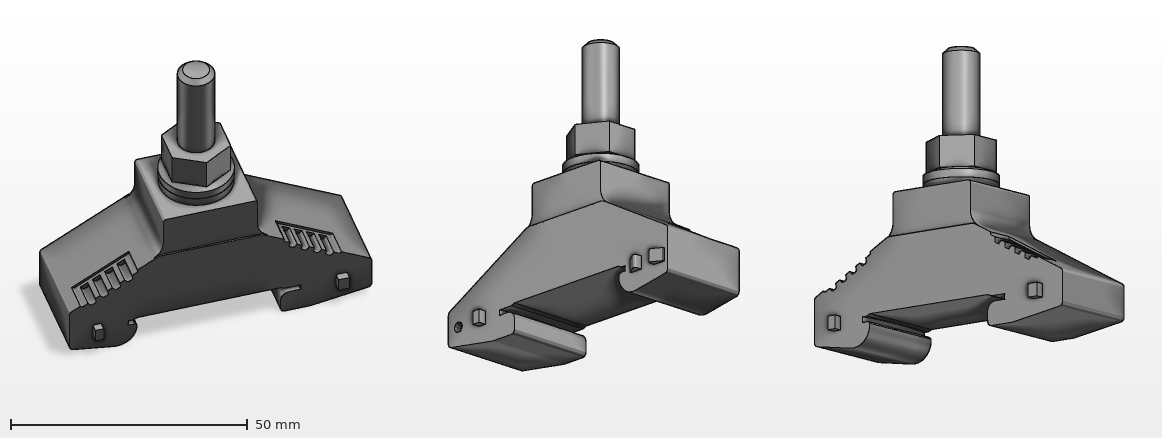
import cadquery as cq
import math


overall_width = 24.6
peg_reach = 1.8
housing_width = overall_width - 2 * peg_reach
half_width = housing_width / 2
front_end = -31.35
back_end = front_end + 67
corner_radius = 1.0
front_shoulder_z = 12.05
slope_angle = math.radians(28.5)

neck_width = 20.2
neck_half_depth = 10.45
neck_top_z = 32.4
neck_root_z = 20.1
neck_root_radius = 4.0
neck_top_radius = 0.7
ledge_z = 22.85
ledge_radius = 2.0

rail_seat_z = 6.85
rail_slot_floor_z = 5.2
rail_slot_top_z = 6.4
lead_in = 0.95
back_hook_y = 15.4
back_hook_radius = 2.0
back_bottom_y = 22.1
back_bottom_z = 1.95
back_slot_end = 19.95
front_hook_y = -16.4
front_hook_radius = 4.5
front_hook_tip = 0.5
front_slot_mouth = -17.2
front_slot_end = -18.3
front_bottom_angle = math.radians(9.5)
slot_end_bulge = 0.95

grip_middle = 25.7
grip_length = 14.4
grip_width = 6.2
grip_depth = 0.5
groove_count = 4
groove_pitch = 3.1
groove_length = 5.4
groove_width = 1.9
groove_depth = 1.0
groove_flank_angle = math.radians(18)
groove_radius = 0.35

peg_bottom_z = 4.35
peg_height = 2.95
peg_width = 1.9
peg_y = 25.25
wide_peg_width = 2.5
wide_peg_y = 28.95
barb_length = 3.1
barb_step = 0.35
barb_sharp_reach = 2.15
barb_tip_radius = 0.5
barb_gap = 3.95
socket_y = 32.55
socket_diameter = 2.3
socket_depth = 1.8

stud_diameter = 8.0
stud_top_z = 63.6
stud_chamfer_width = 1.15
stud_chamfer_height = 1.1
washer_diameter = 16.1
washer_top_z = 34.3
collar_diameter = 16.2
collar_edge_z = 36.1
nut_bottom_z = 36.85
nut_top_z = 43.7
nut_across_flats = 13.0


def slope_z(distance):
    """Height of the sloping flanks at a given Y distance from the stud axis."""
    return front_shoulder_z + (-front_end - distance) * math.tan(slope_angle)


def slope_distance(z):
    """Y distance from the stud axis at which the sloping flanks have height z."""
    return -front_end - (z - front_shoulder_z) / math.tan(slope_angle)


def round_edges(body, radius, corners):
    """Round the edges that run along X through the given (y, z) corners."""
    edges = body.edges(cq.selectors.NearestToPointSelector((0, *corners[0])))
    for corner in corners[1:]:
        edges = edges.add(body.edges(cq.selectors.NearestToPointSelector((0, *corner))))
    return edges.fillet(radius)


def make_base():
    """Lower block with sloping flanks and the two rail hooks."""
    hook_center_y = front_hook_y - front_hook_radius
    hook_middle_angle = math.pi / 4
    hook_middle = (
        hook_center_y + front_hook_radius * math.cos(hook_middle_angle),
        front_hook_radius * (1 - math.sin(hook_middle_angle)),
    )
    hook_end = (
        hook_center_y - front_hook_radius * math.sin(front_bottom_angle),
        front_hook_radius * (1 - math.cos(front_bottom_angle)),
    )
    front_bottom_z = hook_end[1] + (hook_end[0] - front_end) * math.tan(front_bottom_angle)
    ledge_y = slope_distance(ledge_z)
    back_shoulder_z = slope_z(back_end)

    base = (
        cq.Workplane("YZ")
        .moveTo(front_end, front_shoulder_z)
        .lineTo(-ledge_y, ledge_z)
        .lineTo(ledge_y, ledge_z)
        .lineTo(back_end, back_shoulder_z)
        .lineTo(back_end, back_bottom_z)
        .lineTo(back_bottom_y, 0)
        .lineTo(back_hook_y, 0)
        .lineTo(back_hook_y, rail_slot_floor_z)
        .lineTo(back_hook_y + lead_in, rail_slot_floor_z)
        .lineTo(back_hook_y + lead_in, rail_slot_top_z)
        .lineTo(back_hook_y, rail_seat_z)
        .lineTo(front_slot_mouth + lead_in, rail_seat_z)
        .lineTo(front_slot_mouth, rail_slot_top_z)
        .lineTo(front_slot_mouth, rail_slot_floor_z)
        .lineTo(front_hook_y - front_hook_tip, rail_slot_floor_z)
        .lineTo(front_hook_y, rail_slot_floor_z - front_hook_tip)
        .lineTo(front_hook_y, front_hook_radius)
        .threePointArc(hook_middle, hook_end)
        .lineTo(front_end, front_bottom_z)
        .close()
        .extrude(half_width, both=True)
    )
    base = base.cut(make_rail_slot(back_hook_y + lead_in, back_slot_end))
    base = base.cut(make_rail_slot(front_slot_mouth, front_slot_end)).clean()

    base = round_edges(base, back_hook_radius, [(back_hook_y, rail_slot_floor_z)])
    base = round_edges(base, ledge_radius, [(-ledge_y, ledge_z), (ledge_y, ledge_z)])
    outer_corners = [
        (front_end, front_shoulder_z),
        (front_end, front_bottom_z),
        (back_end, back_shoulder_z),
        (back_end, back_bottom_z),
        (back_hook_y, 0),
    ]
    return round_edges(base, corner_radius, outer_corners)


def make_rail_slot(mouth_y, end_y):
    """Slot behind a hook; its end wall bulges towards the mouth at mid-width."""
    bulge_y = end_y - math.copysign(slot_end_bulge, end_y)
    return (
        cq.Workplane("XY", origin=(0, 0, rail_slot_floor_z))
        .moveTo(-half_width, mouth_y)
        .lineTo(-half_width, end_y)
        .threePointArc((0, bulge_y), (half_width, end_y))
        .lineTo(half_width, mouth_y)
        .close()
        .extrude(rail_slot_top_z - rail_slot_floor_z)
    )


def make_neck():
    """Narrower block on the base that flares out into the sloping flanks."""
    root_y = slope_distance(neck_root_z)
    flare_z = slope_z(neck_half_depth)
    neck = (
        cq.Workplane("YZ")
        .polyline([
            (-root_y, neck_root_z),
            (-neck_half_depth, flare_z),
            (-neck_half_depth, neck_top_z),
            (neck_half_depth, neck_top_z),
            (neck_half_depth, flare_z),
            (root_y, neck_root_z),
        ])
        .close()
        .extrude(neck_width / 2, both=True)
    )
    flares = [(-neck_half_depth, flare_z), (neck_half_depth, flare_z)]
    top_corners = [(-neck_half_depth, neck_top_z), (neck_half_depth, neck_top_z)]
    neck = round_edges(neck, neck_root_radius, flares)
    return round_edges(neck, neck_top_radius, top_corners)


def make_grip():
    """Cutter for the front grip: a shallow recess with deeper grooves in its floor."""
    def slope_plane(width):
        return cq.Plane(
            origin=(half_width - width, 0, slope_z(0)),
            xDir=(0, -math.cos(slope_angle), -math.sin(slope_angle)),
            normal=(1, 0, 0),
        )

    upper_end = grip_middle - grip_length / 2
    lower_end = grip_middle + grip_length / 2
    arc_offset = grip_depth * (1 - math.cos(math.pi / 4))
    arc_depth = grip_depth * math.sin(math.pi / 4)
    grip = (
        cq.Workplane(slope_plane(grip_width))
        .moveTo(upper_end, 0)
        .threePointArc((upper_end + arc_offset, arc_depth), (upper_end + grip_depth, grip_depth))
        .lineTo(lower_end - grip_depth, grip_depth)
        .threePointArc((lower_end - arc_offset, arc_depth), (lower_end, 0))
        .close()
        .extrude(grip_width)
    )

    first_groove = grip_middle - groove_pitch * (groove_count - 1) / 2
    floor_depth = grip_depth + groove_depth
    half_floor = groove_width / 2 - groove_depth * math.tan(groove_flank_angle)
    half_mouth = groove_width / 2 + grip_depth * math.tan(groove_flank_angle)
    for index in range(groove_count):
        groove = (
            cq.Workplane(slope_plane(groove_length))
            .center(first_groove + index * groove_pitch, 0)
            .sketch()
            .polygon([
                (-half_mouth, 0),
                (half_mouth, 0),
                (half_floor, floor_depth),
                (-half_floor, floor_depth),
                (-half_mouth, 0),
            ])
            .vertices(">Y")
            .fillet(groove_radius)
            .finalize()
            .extrude(groove_length)
        )
        grip = grip.union(groove)
    return grip


def make_peg(side, y, width):
    """Square peg on the left (side = -1) or right (side = 1) face, centred on y."""
    center_x = side * (half_width + peg_reach / 2)
    return (
        cq.Workplane("XY", origin=(center_x, y, peg_bottom_z))
        .rect(peg_reach, width)
        .extrude(peg_height)
    )


def make_barb(root_y, direction):
    """Snap barb on the left face, rising from root_y towards the given Y direction."""
    end_y = root_y + direction * barb_length
    return (
        cq.Workplane("XY", origin=(0, 0, peg_bottom_z))
        .polyline([
            (-half_width, root_y),
            (-half_width - barb_step, root_y),
            (-half_width - barb_sharp_reach, end_y),
            (-half_width, end_y),
        ])
        .close()
        .extrude(peg_height)
        .edges("|Z and <X")
        .fillet(barb_tip_radius)
    )


def make_housing():
    housing = make_base().union(make_neck()).clean()

    grip = make_grip()
    housing = housing.cut(grip).cut(grip.mirror("XZ"))

    housing = housing.union(make_peg(-1, peg_y, peg_width))
    housing = housing.union(make_peg(1, -peg_y, peg_width))
    housing = housing.union(make_peg(1, wide_peg_y, wide_peg_width))

    for direction in (-1, 1):
        barb_root = -peg_y - direction * (barb_gap / 2 + barb_length)
        housing = housing.union(make_barb(barb_root, direction))

    socket = (
        cq.Workplane("YZ", origin=(-half_width, 0, 0))
        .center(socket_y, peg_bottom_z + peg_height / 2)
        .circle(socket_diameter / 2)
        .extrude(socket_depth)
    )
    return housing.cut(socket)


def make_stud():
    """Stud in one piece with its washer, bevelled collar and hexagon nut."""
    stud_radius = stud_diameter / 2
    turned = (
        cq.Workplane("XZ")
        .polyline([
            (0, neck_top_z),
            (washer_diameter / 2, neck_top_z),
            (washer_diameter / 2, washer_top_z),
            (collar_diameter / 2, washer_top_z),
            (collar_diameter / 2, collar_edge_z),
            (nut_across_flats / 2, nut_bottom_z),
            (stud_radius, nut_bottom_z),
            (stud_radius, stud_top_z - stud_chamfer_height),
            (stud_radius - stud_chamfer_width, stud_top_z),
            (0, stud_top_z),
        ])
        .close()
        .revolve(360, (0, 0, 0), (0, 1, 0))
    )
    nut_across_corners = nut_across_flats / math.cos(math.pi / 6)
    nut = (
        cq.Workplane("XY", origin=(0, 0, nut_bottom_z))
        .polygon(6, nut_across_corners)
        .extrude(nut_top_z - nut_bottom_z)
    )
    return turned.union(nut)


housing = make_housing()
stud = make_stud()

result = cq.Compound.makeCompound([housing.val(), stud.val()])